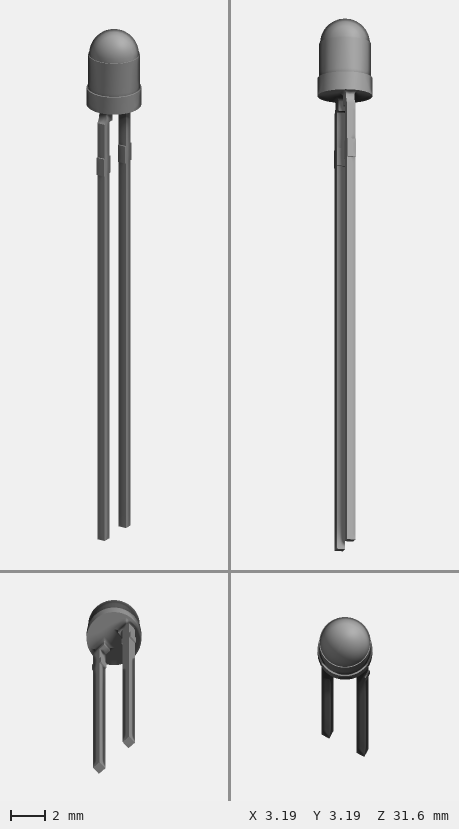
import cadquery as cq

total_height = 31.6
flange_radius = 1.595
barrel_radius = 1.5
dome_radius = 1.45
flange_bottom = 27.0
flange_height = 1.07

leg_width = 0.5
leg_thickness = 0.5
leg_pitch = 2.3
tab_inner = 0.55
tab_outer = 1.2
tab_bottom = 26.23
bend_top = 26.73
bend_bottom = 26.23
stop_width = 0.7
stop_bottom = 23.0
stop_height = 1.07
root_fillet = 0.2

flange_top = flange_bottom + flange_height
barrel_top = total_height - dome_radius
leg_inner = (leg_pitch - leg_width) / 2
leg_outer = leg_inner + leg_width


def make_lens():
    """Revolve the half section of the lens, with a small step under the dome."""
    half_section = (
        cq.Workplane("XZ")
        .moveTo(0, flange_bottom)
        .lineTo(flange_radius, flange_bottom)
        .lineTo(flange_radius, flange_top)
        .lineTo(barrel_radius, flange_top)
        .lineTo(barrel_radius, barrel_top)
        .lineTo(dome_radius, barrel_top)
        .radiusArc((0, total_height), -dome_radius)
        .close()
    )
    return half_section.revolve(360, (0, 0, 0), (0, 1, 0))


def make_leg():
    """Leg on the +Y side: inward tab at the top, curved outer shoulder, and a wider standoff stop."""
    outline = (
        cq.Workplane("YZ")
        .moveTo(tab_outer, flange_bottom)
        .lineTo(tab_outer, bend_top)
        .tangentArcPoint((leg_outer, bend_bottom), relative=False)
        .lineTo(leg_outer, 0)
        .lineTo(leg_inner, 0)
        .lineTo(leg_inner, tab_bottom)
        .lineTo(tab_inner, tab_bottom)
        .lineTo(tab_inner, flange_bottom)
        .close()
    )
    wire = outline.extrude(leg_thickness / 2, both=True)
    stop = cq.Workplane("XY").box(
        leg_thickness, stop_width, stop_height, centered=(True, True, False)
    )
    return wire.union(stop.translate((0, leg_pitch / 2, stop_bottom)))


def around_root(side):
    """Select the edges where the leg on one side (+1 or -1 along Y) meets the flange."""
    return cq.selectors.BoxSelector(
        (-leg_thickness, side * tab_inner / 2, flange_bottom - root_fillet / 2),
        (leg_thickness, side * leg_outer, flange_bottom + root_fillet / 2),
    )


leg = make_leg()
result = make_lens().union(leg).union(leg.mirror("XZ"))

for side in (1, -1):
    result = result.edges(around_root(side)).fillet(root_fillet)